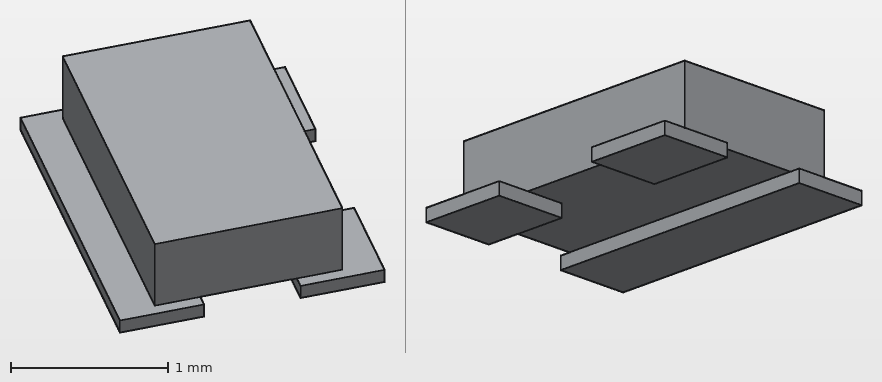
import cadquery as cq

length = 2.16
width = 1.76
height = 0.6

plate_thickness = 0.1
plate_depth = 0.56
pad_length = 0.66

body_length = 2.0
body_width = 1.248
body_height = height - plate_thickness

plate_offset_y = (width - plate_depth) / 2
pad_offset_x = (length - pad_length) / 2


def make_block(size_x, size_y, size_z, x, y, base_z):
    """Block centred on (x, y) with its bottom face at base_z."""
    block = cq.Workplane("XY").box(size_x, size_y, size_z, centered=(True, True, False))
    return block.translate((x, y, base_z))


def make_body():
    """Rectangular component body, sitting on top of the terminals."""
    return make_block(body_length, body_width, body_height, 0, 0, plate_thickness)


def make_front_strip():
    """Full-length terminal along the -Y edge."""
    return make_block(length, plate_depth, plate_thickness, 0, -plate_offset_y, 0)


def make_corner_pad(side):
    """Short terminal at the +Y edge; side is -1 for the -X corner, +1 for the +X corner."""
    return make_block(pad_length, plate_depth, plate_thickness, side * pad_offset_x, plate_offset_y, 0)


body = make_body()
front_strip = make_front_strip()
corner_pads = [make_corner_pad(side) for side in (-1, 1)]

result = cq.Compound.makeCompound([
    body.val(),
    front_strip.val(),
    *[pad.val() for pad in corner_pads],
])